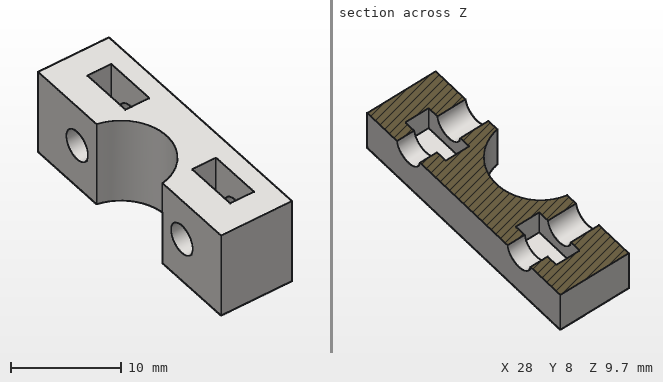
import cadquery as cq

length = 28.0
depth = 8.0
height = 9.7

saddle_width = 10.08
saddle_depth = 4.17
saddle_radius = ((saddle_width / 2) ** 2 + saddle_depth**2) / (2 * saddle_depth)
saddle_center_y = saddle_depth - saddle_radius

hole_diameter = 3.3
hole_spacing = 16.02
hole_height = 5.0

pocket_width = 5.82
pocket_thickness = 2.7
pocket_back_wall = 2.02
pocket_center_y = depth - pocket_back_wall - pocket_thickness / 2
pocket_floor = hole_height - pocket_width / 2


def make_block():
    return cq.Workplane("XY").box(length, depth, height, centered=(True, False, False))


def make_saddle():
    return cq.Workplane("XY").center(0, saddle_center_y).circle(saddle_radius).extrude(height)


def make_screw_hole(x):
    return cq.Workplane("XZ").center(x, hole_height).circle(hole_diameter / 2).extrude(-depth)


def make_nut_pocket(x):
    return (
        cq.Workplane("XY", origin=(x, pocket_center_y, pocket_floor))
        .rect(pocket_width, pocket_thickness)
        .extrude(height - pocket_floor)
    )


result = make_block().cut(make_saddle())
for hole_x in (-hole_spacing / 2, hole_spacing / 2):
    result = result.cut(make_screw_hole(hole_x)).cut(make_nut_pocket(hole_x))